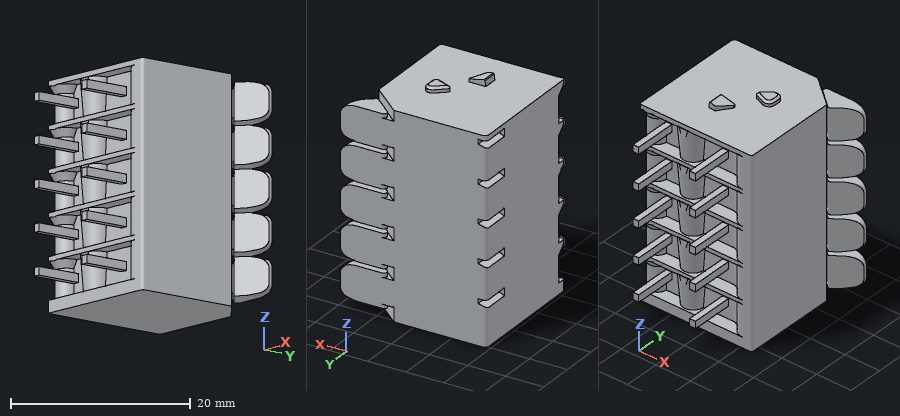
import cadquery as cq

body_width = 16.3
body_depth = 16.63
body_height = 26.58
overall_height = 27.4
front_round = 0.33
rear_round = 0.55
bevel_width = 4.15
bevel_depth = 3.48

cell_count = 5
cell_height = 4.45
first_cell_base = 1.48
last_cell_base = 21.48
cell_pitch = (last_cell_base - first_cell_base) / (cell_count - 1)
cell_bases = [first_cell_base + i * cell_pitch for i in range(cell_count)]

pocket_depth = 1.78
pocket_right = 14.93
ramp_start = 12.05

post_x = 1.18
post_radius = 1.3
post_setback = 0.52
post_y = post_setback + post_radius
post_cone_height = 0.95
post_cone_growth = 0.58

column_x = 6.38
column_y = 1.75
column_flat_setback = 0.05
column_base_radius = 1.45
column_top_radius = 1.8

pin_width = 0.85
pin_height = 1.01
pin_length = 4.05
pin_lefts = [2.45, 10.63]
pin_lift = 0.05
pin_embed = 0.27

slot_length = 3.78
slot_height = 1.0
slot_depth = 1.1
slot_lip_rise = 0.22
slot_lip_depth = 0.4
slot_floor_rise = 0.4

button_height = 4.47
button_drop = 0.2
button_right = 19.2
button_bevel_start = 12.6
button_edge_depth = 0.5
button_tip_x = 16.05
button_tip_y = 13.7
button_corner_round = 0.4
button_tip_round = 0.27
button_taper_start = 17.12
button_nose_start = 18.3
button_taper_drop = 0.22
button_nose_drop = 1.35
stem_end_x = 15.07
stem_inset = 0.55

drop_key_height = 0.7
drop_key_bevel = 0.3
drop_key_tip_round = 0.33
drop_key_round = 0.8
drop_key_tip = (9.0, 9.35)
drop_key_right = 11.9
drop_key_rear = 11.8
drop_key_front = 8.17
wedge_left = 6.47
wedge_right = 8.69
wedge_rear = 6.3
wedge_front_left = 4.38
wedge_right_side = 0.3
wedge_nose = (7.45, 4.27)
wedge_nose_round = 0.22
wedge_peak = overall_height - body_height
wedge_crest_bevel = 0.1
wedge_left_top = 6.58
wedge_low = 0.35


def box(x0, x1, y0, y1, z0, z1):
    """Axis-aligned box between two opposite corners."""
    return cq.Workplane("XY").box(x1 - x0, y1 - y0, z1 - z0, centered=False).translate((x0, y0, z0))


def cone(x, y, z, height, bottom_radius, top_radius):
    """Upright truncated cone standing at (x, y, z)."""
    return cq.Workplane(cq.Solid.makeCone(bottom_radius, top_radius, height, pnt=cq.Vector(x, y, z)))


def housing():
    outline = [
        (0, 0),
        (body_width, 0),
        (body_width, body_depth - bevel_depth),
        (body_width - bevel_width, body_depth),
        (0, body_depth),
    ]
    block = cq.Workplane("XY").polyline(outline).close().extrude(body_height)
    block = block.edges("|Z and <Y").fillet(front_round)
    return block.edges("|Z and >Y and <X").fillet(rear_round)


def pocket(base):
    """Open front pocket with an S-shaped ramp on its right side."""
    ramp_middle = ((ramp_start + pocket_right) / 2, pocket_depth / 2)
    return (
        cq.Workplane("XY", origin=(0, 0, base))
        .moveTo(0, 0)
        .lineTo(0, pocket_depth)
        .lineTo(ramp_start, pocket_depth)
        .tangentArcPoint(ramp_middle, relative=False)
        .tangentArcPoint((pocket_right, 0), relative=False)
        .close()
        .extrude(cell_height)
    )


def cell_posts(base):
    """Corner post with a flared head, and the tapered column with a flat near the front."""
    straight = cell_height - post_cone_height
    head_radius = post_radius + post_cone_growth
    shaft = cq.Workplane("XY", origin=(post_x, post_y, base)).circle(post_radius).extrude(straight)
    head = cone(post_x, post_y, base + straight, post_cone_height, post_radius, head_radius)
    corner = shaft.union(head)
    column = cone(column_x, column_y, base, cell_height, column_base_radius, column_top_radius)
    top = base + cell_height
    corner = corner.intersect(box(0, body_width, 0, body_depth, base, top))
    column = column.intersect(box(0, body_width, column_flat_setback, body_depth, base, top))
    return corner.union(column)


def pin(left, base):
    bottom = base + (cell_height - pin_height) / 2 + pin_lift
    return box(left, left + pin_width, -pin_length, pocket_depth + pin_embed, bottom, bottom + pin_height)


def side_slot(cell_base):
    """Slot with a floor that falls toward the left face in two slopes."""
    top = cell_base + cell_height
    bottom = top - slot_height
    profile = [
        (0, bottom),
        (slot_lip_depth, bottom + slot_lip_rise),
        (slot_depth, bottom + slot_floor_rise),
        (slot_depth, top),
        (0, top),
    ]
    return cq.Workplane("XZ", origin=(0, body_depth, 0)).polyline(profile).close().extrude(slot_length)


def button(cell_base):
    """Wedge-shaped lever with a rounded nose, joined to the bevel by a narrower stem."""
    bottom = cell_base - button_drop
    top = bottom + button_height
    plan = [
        (button_bevel_start, body_depth),
        (button_tip_x, button_tip_y),
        (button_right, body_depth - button_edge_depth),
        (button_right, body_depth),
    ]
    lever = cq.Workplane("XY", origin=(0, 0, bottom)).polyline(plan).close().extrude(button_height)
    lever = lever.edges("|Z and <X").fillet(button_corner_round)
    lever = lever.edges("|Z and <Y").fillet(button_tip_round)
    silhouette = (
        cq.Workplane("XZ", origin=(0, body_depth, 0))
        .moveTo(0, top)
        .lineTo(button_taper_start, top)
        .tangentArcPoint((button_nose_start, top - button_taper_drop), relative=False)
        .tangentArcPoint((button_right, top - button_nose_drop), relative=False)
        .lineTo(button_right, bottom + button_nose_drop)
        .tangentArcPoint((button_nose_start, bottom + button_taper_drop), relative=False)
        .tangentArcPoint((button_taper_start, bottom), relative=False)
        .lineTo(0, bottom)
        .close()
        .extrude(body_depth)
    )
    stem_end_y = body_depth - (stem_end_x - body_width + bevel_width) * bevel_depth / bevel_width
    stem = (
        cq.Workplane("XY", origin=(0, 0, bottom + stem_inset))
        .polyline([
            (body_width - bevel_width, body_depth),
            (stem_end_x, stem_end_y),
            (button_tip_x, stem_end_y),
            (button_tip_x, body_depth),
        ])
        .close()
        .extrude(button_height - 2 * stem_inset)
    )
    return lever.intersect(silhouette).union(stem)


def drop_key():
    """Teardrop key: a rounded triangle with a beveled top."""
    outline = [drop_key_tip, (drop_key_right, drop_key_front), (drop_key_right, drop_key_rear)]
    key = cq.Workplane("XY", origin=(0, 0, body_height)).polyline(outline).close().extrude(drop_key_height)
    key = key.edges("|Z and >X").fillet(drop_key_round)
    key = key.edges("|Z and <X").fillet(drop_key_tip_round)
    return key.faces(">Z").chamfer(drop_key_bevel)


def wedge_key():
    """Five-sided key whose top falls away to the right from a beveled crest."""
    outline = [
        (wedge_left, wedge_rear),
        (wedge_right, wedge_rear),
        (wedge_right, wedge_rear - wedge_right_side),
        wedge_nose,
        (wedge_left, wedge_front_left),
    ]
    profile = [
        (wedge_left, 0),
        (wedge_left_top, wedge_peak - wedge_crest_bevel),
        (wedge_left_top + wedge_crest_bevel, wedge_peak),
        (wedge_right, wedge_low),
        (wedge_right, 0),
    ]
    prism = cq.Workplane("XY", origin=(0, 0, body_height)).polyline(outline).close().extrude(wedge_peak)
    prism = prism.edges("|Z and <Y").fillet(wedge_nose_round)
    slope = cq.Workplane("XZ", origin=(0, wedge_rear, body_height)).polyline(profile).close()
    slope = slope.extrude(wedge_rear)
    return prism.intersect(slope)


result = housing()
for cell_base in cell_bases:
    result = result.cut(pocket(cell_base)).cut(side_slot(cell_base))
    result = result.union(cell_posts(cell_base)).union(button(cell_base))
    for pin_left in pin_lefts:
        result = result.union(pin(pin_left, cell_base))
result = result.union(drop_key()).union(wedge_key())